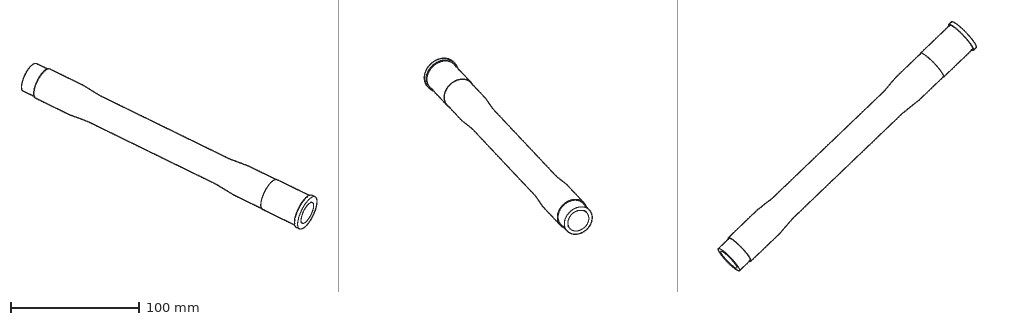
import cadquery as cq

SPIGOT_END = 11.7
FRONT_SLEEVE_END = 43.6
WAIST_START = 59.8
WAIST_END = 179.1
REAR_SLEEVE_START = 196.1
SOCKET_START = 222.8
FLANGE_THICKNESS = 3.1
TOTAL_LENGTH = 257.7
FLANGE_START = TOTAL_LENGTH - FLANGE_THICKNESS

SPIGOT_DIAMETER = 24.0
SLEEVE_DIAMETER = 25.5
WAIST_DIAMETER = 22.5
SOCKET_DIAMETER = 26.0
FLANGE_DIAMETER = 28.0
BORE_DIAMETER = 18.0

AXIAL = (1, 0)


def cylinder(start, end, diameter):
    """Solid cylinder on the X axis between two stations."""
    return cq.Workplane("YZ", origin=(start, 0, 0)).circle(diameter / 2).extrude(end - start)


def smooth_transition(start, end, start_diameter, end_diameter):
    """Solid of revolution whose S-shaped outline leaves both ends parallel to the axis."""
    return (
        cq.Workplane("XY")
        .moveTo(start, 0)
        .lineTo(start, start_diameter / 2)
        .spline([(end, end_diameter / 2)], tangents=[AXIAL, AXIAL], includeCurrent=True)
        .lineTo(end, 0)
        .close()
        .revolve(360, (0, 0, 0), (1, 0, 0))
    )


def tube_body():
    """Outer shape: spigot, sleeve, slim waist, sleeve, socket and end flange."""
    body = cylinder(0, SPIGOT_END, SPIGOT_DIAMETER)
    body = body.union(cylinder(SPIGOT_END, FRONT_SLEEVE_END, SLEEVE_DIAMETER))
    body = body.union(smooth_transition(FRONT_SLEEVE_END, WAIST_START, SLEEVE_DIAMETER, WAIST_DIAMETER))
    body = body.union(cylinder(WAIST_START, WAIST_END, WAIST_DIAMETER))
    body = body.union(smooth_transition(WAIST_END, REAR_SLEEVE_START, WAIST_DIAMETER, SLEEVE_DIAMETER))
    body = body.union(cylinder(REAR_SLEEVE_START, SOCKET_START, SLEEVE_DIAMETER))
    body = body.union(cylinder(SOCKET_START, FLANGE_START, SOCKET_DIAMETER))
    return body.union(cylinder(FLANGE_START, TOTAL_LENGTH, FLANGE_DIAMETER))


bore = cylinder(0, TOTAL_LENGTH, BORE_DIAMETER)
result = tube_body().cut(bore)